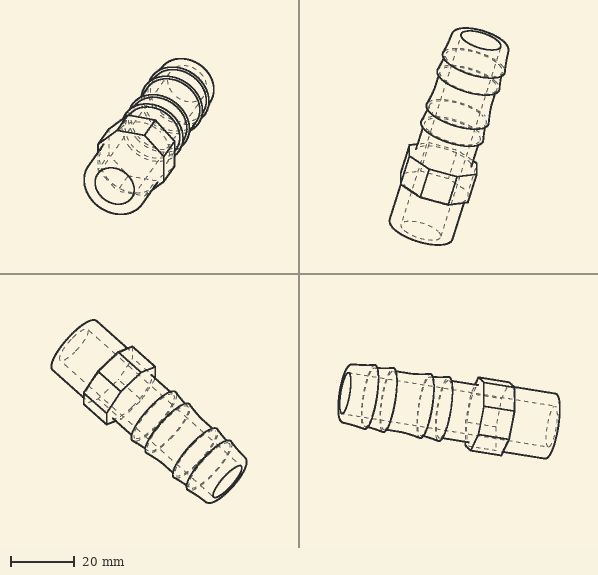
import cadquery as cq
import math


total_length = 67
spigot_length = 15.0
grip_length = 10.0
first_barb_length = 8.0
barbed_length = 32.0
equal_steps = 4
barb_length = (barbed_length - first_barb_length) / equal_steps

bore_diameter = 13.0
spigot_diameter = 20.7
stem_diameter = 18.2
barb_root_diameter = 18.6
barb_crest_diameter = 20.45

grip_sides = 8
grip_across_flats = 22.0

shoulder_fillet = 0.55
spigot_rim_fillet = 0.5
tip_fillet = 1.0
flare_radius = 44.9

root_radius = barb_root_diameter / 2
crest_radius = barb_crest_diameter / 2
grip_end = spigot_length + grip_length


def cylinder(diameter, start, end):
    """Round bar on the Y axis from Y = start to Y = end."""
    return cq.Workplane("XZ", origin=(0, start, 0)).circle(diameter / 2).extrude(start - end)


def revolve_about_axis(profile):
    """Close a half profile in the XY plane and turn it around the Y axis."""
    return profile.close().revolve(360, (0, 0, 0), (0, 1, 0))


def barb(crest_y, root_y):
    """Barb with a flat back at crest_y, narrowing in a slightly hollow curve to root_y."""
    rise = crest_radius - root_radius
    run = root_y - crest_y
    chord = math.hypot(rise, run)
    sag = flare_radius - math.sqrt(flare_radius**2 - (chord / 2) ** 2)
    mid_radius = (crest_radius + root_radius) / 2 - sag * run / chord
    mid_y = (crest_y + root_y) / 2 - sag * rise / chord
    return revolve_about_axis(
        cq.Workplane("XY")
        .moveTo(0, crest_y)
        .lineTo(crest_radius, crest_y)
        .threePointArc((mid_radius, mid_y), (root_radius, root_y))
        .lineTo(0, root_y)
    )


def shoulder(diameter, face_y, direction):
    """Concave fillet collar on a bar at a grip face; direction (+1 or -1) points away from the grip."""
    radius = diameter / 2
    collar_y = face_y + direction * shoulder_fillet
    arc_offset = shoulder_fillet * (1 - math.sqrt(0.5))
    return revolve_about_axis(
        cq.Workplane("XY")
        .moveTo(0, face_y)
        .lineTo(radius + shoulder_fillet, face_y)
        .threePointArc(
            (radius + arc_offset, face_y + direction * arc_offset),
            (radius, collar_y),
        )
        .lineTo(0, collar_y)
    )


spigot = cylinder(spigot_diameter, 0, spigot_length).faces("<Y").edges().fillet(spigot_rim_fillet)

grip = (
    cq.Workplane("XZ", origin=(0, spigot_length, 0))
    .polygon(grip_sides, grip_across_flats, circumscribed=True)
    .extrude(-grip_length)
)

tip_start = total_length - tip_fillet
crest_1 = total_length - first_barb_length
crest_2 = crest_1 - barb_length
gap_end = crest_2 - barb_length
crest_3 = gap_end - barb_length
crest_4 = crest_3 - barb_length

stem = cylinder(stem_diameter, grip_end, crest_4)
gap = cylinder(barb_root_diameter, gap_end, crest_2)
tip = cylinder(barb_root_diameter, crest_1, total_length).faces(">Y").edges().fillet(tip_fillet)

body = spigot.union(grip).union(stem).union(gap).union(tip)
body = body.union(shoulder(spigot_diameter, spigot_length, -1))
body = body.union(shoulder(stem_diameter, grip_end, 1))
for crest_y, root_y in (
    (crest_1, tip_start),
    (crest_2, crest_1),
    (crest_3, gap_end),
    (crest_4, crest_3),
):
    body = body.union(barb(crest_y, root_y))

result = body.cut(cylinder(bore_diameter, 0, total_length))